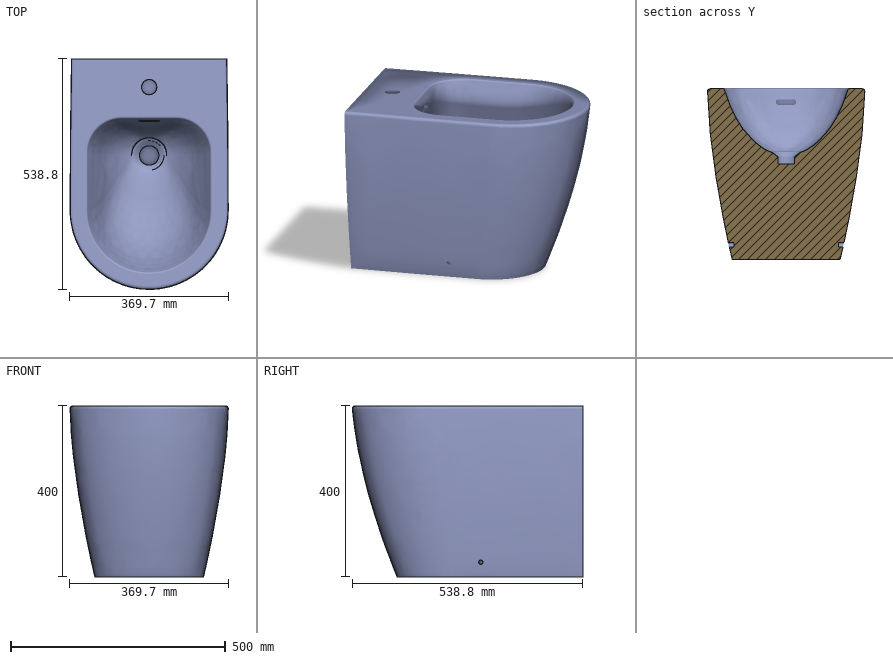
import cadquery as cq
import math

HEIGHT = 400.0
LENGTH = 539.0
RIM_OVERSHOOT = 0.5
TOP_HALF_WIDTH = 185.0
BACK_NARROWING = 3.0
RIM_EDGE_RADIUS = 7.0
BASIN_EDGE_RADIUS = 4.5

BODY_SECTIONS = [
    (0.0, 126.5, 434.0),
    (111.0, 150.5, 475.5),
    (219.5, 169.0, 508.0),
    (291.0, 178.0, 524.0),
    (HEIGHT, TOP_HALF_WIDTH, LENGTH + RIM_OVERSHOOT),
]

DRAIN_Y = -226.0
DRAIN_RING_Z = 253.5
DRAIN_RING_RADIUS = 41.0
DRAIN_MOUTH_RADIUS = 34.5
DRAIN_HOLE_RADIUS = 22.5
DRAIN_LIP_DEPTH = 2.5
DRAIN_CONE_DEPTH = 10.0
DRAIN_HOLE_DEPTH = 16.0

BASIN_SECTIONS = [
    (HEIGHT, 144.5, -139.0, -500.5, 81.0),
    (302.0, 97.5, -162.0, -414.0, 59.5),
    (DRAIN_RING_Z, DRAIN_RING_RADIUS, DRAIN_Y + DRAIN_RING_RADIUS,
     DRAIN_Y - DRAIN_RING_RADIUS, 39.0),
]
NOSE_START_CLEARANCE = 1.0

TAP_Y = -66.5
TAP_RADIUS = 18.0
TAP_DEPTH = 11.0

OVERFLOW_WIDTH = 47.5
OVERFLOW_HEIGHT = 13.0
OVERFLOW_Z = 367.5
OVERFLOW_END_Y = -137.0
OVERFLOW_START_Y = -188.5

FIXING_Y = -239.0
FIXING_Z = 35.0
FIXING_RADIUS = 5.0
FIXING_REACH = 123.0


def body_section(z, half_width, length):
    """Straight back, gently bowed sides and a semicircular nose."""
    back = half_width - BACK_NARROWING
    nose_y = half_width - length
    bow = half_width - BACK_NARROWING / 4
    outline = (
        cq.Workplane("XY", origin=(0, 0, z))
        .moveTo(-back, 0)
        .lineTo(back, 0)
        .threePointArc((bow, nose_y / 2), (half_width, nose_y))
        .threePointArc((0, -length), (-half_width, nose_y))
        .threePointArc((-bow, nose_y / 2), (-back, 0))
        .close()
    )
    return outline.val()


def basin_section(z, half_width, back_y, front_y, corner):
    """Rounded back corners, straight sides and a semicircular nose."""
    flat = half_width - corner
    corner_y = back_y - corner
    nose_y = min(front_y + half_width, corner_y - NOSE_START_CLEARANCE)
    inset = corner * (1 - math.sqrt(0.5))
    outline = (
        cq.Workplane("XY", origin=(0, 0, z))
        .moveTo(-flat, back_y)
        .lineTo(flat, back_y)
        .threePointArc((half_width - inset, back_y - inset), (half_width, corner_y))
        .lineTo(half_width, nose_y)
        .threePointArc((0, front_y), (-half_width, nose_y))
        .lineTo(-half_width, corner_y)
        .threePointArc((inset - half_width, back_y - inset), (-flat, back_y))
        .close()
    )
    return outline.val()


def make_body():
    body = cq.Workplane(cq.Solid.makeLoft([body_section(*s) for s in BODY_SECTIONS]))
    rim = body.faces(">Z").edges().filter(lambda edge: edge.Center().y < -5.5)
    return rim.fillet(RIM_EDGE_RADIUS)


def cut_basin(body):
    basin = cq.Solid.makeLoft([basin_section(*s) for s in BASIN_SECTIONS])
    hollowed = body.cut(cq.Workplane(basin))
    opening = hollowed.faces(">Z").val().innerWires()[0]
    return hollowed.newObject(opening.Edges()).fillet(BASIN_EDGE_RADIUS)


def make_drain():
    """Sloping lip and funnel below the drain ring, ending in a short blind hole."""
    mouth_z = DRAIN_RING_Z - DRAIN_LIP_DEPTH
    cone_bottom = mouth_z - DRAIN_CONE_DEPTH
    hole_bottom = cone_bottom - DRAIN_HOLE_DEPTH
    profile = [
        (0, hole_bottom),
        (DRAIN_HOLE_RADIUS, hole_bottom),
        (DRAIN_HOLE_RADIUS, cone_bottom),
        (DRAIN_MOUTH_RADIUS, mouth_z),
        (DRAIN_RING_RADIUS, DRAIN_RING_Z),
        (0, DRAIN_RING_Z),
    ]
    funnel = cq.Workplane("XZ").polyline(profile).close().revolve(360, (0, 0), (0, 1))
    return funnel.translate((0, DRAIN_Y, 0))


def make_tap_hole():
    return (
        cq.Workplane("XY", origin=(0, TAP_Y, HEIGHT - TAP_DEPTH))
        .circle(TAP_RADIUS)
        .extrude(TAP_DEPTH)
    )


def make_overflow():
    """Rounded slot in the back wall of the basin."""
    return (
        cq.Workplane("XZ", origin=(0, OVERFLOW_END_Y, OVERFLOW_Z))
        .slot2D(OVERFLOW_WIDTH, OVERFLOW_HEIGHT)
        .extrude(OVERFLOW_END_Y - OVERFLOW_START_Y)
    )


def make_fixing_hole(side):
    return (
        cq.Workplane("YZ", origin=(side * FIXING_REACH, FIXING_Y, FIXING_Z))
        .circle(FIXING_RADIUS)
        .extrude(side * (TOP_HALF_WIDTH - FIXING_REACH))
    )


result = cut_basin(make_body())
result = result.cut(make_drain())
result = result.cut(make_tap_hole())
result = result.cut(make_overflow())
for side in (-1, 1):
    result = result.cut(make_fixing_hole(side))